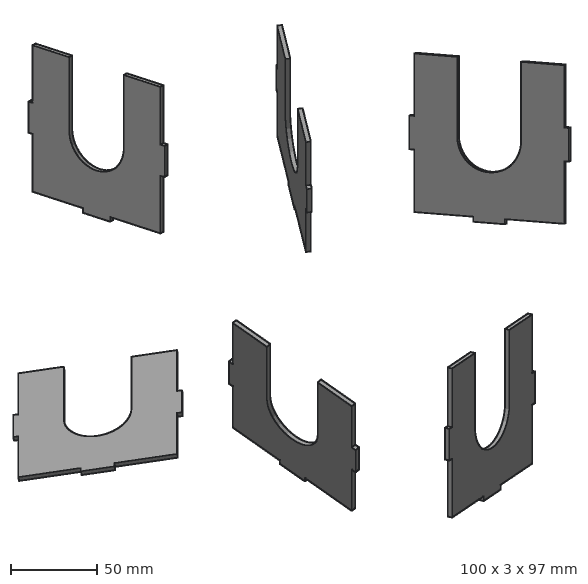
import cadquery as cq

plate_side = 94.0
thickness = 3.0

tab_length = 20.0
tab_projection = thickness

slot_width = 40.0
slot_radius = slot_width / 2
half_side = plate_side / 2


def plate_block(width, height):
    """Block of plate thickness, centred on the origin."""
    return cq.Workplane("XY").box(width, thickness, height)


plate = plate_block(plate_side, plate_side)
side_tabs = plate_block(plate_side + 2 * tab_projection, tab_length)

bottom_tab = plate_block(tab_length, tab_projection).translate(
    (0, 0, -half_side - tab_projection / 2)
)

slot = (
    cq.Workplane("XZ")
    .moveTo(-slot_radius, half_side)
    .lineTo(-slot_radius, 0)
    .threePointArc((0, -slot_radius), (slot_radius, 0))
    .lineTo(slot_radius, half_side)
    .close()
    .extrude(thickness / 2, both=True)
)

result = plate.union(side_tabs).union(bottom_tab).cut(slot)